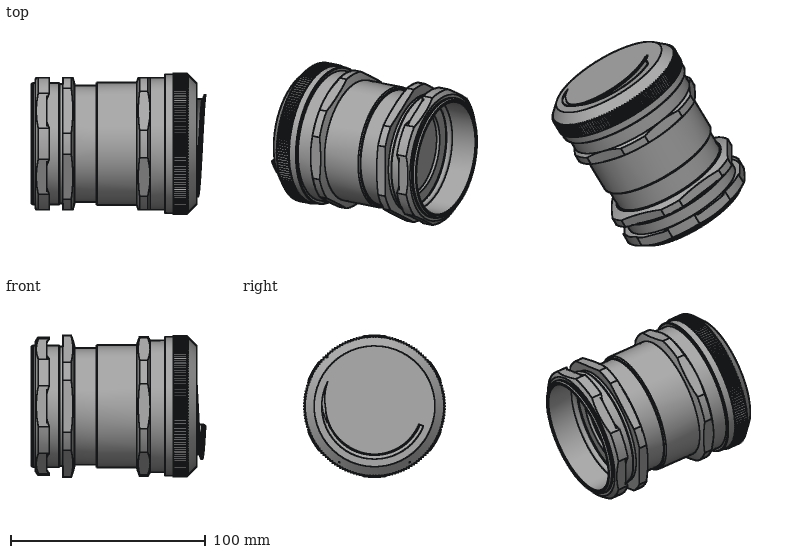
import cadquery as cq
import math


tip_radius = 30.6
thread_radius = 31.3
thread_relief_radius = 30.8
neck_radius = 60.0 / 2
barrel_radius = 63.0 / 2
collar_radius = 33.9
tip_chamfer_end = 1.1
thread_end = 14.0
relief_start = 14.6
relief_end = 22.4
barrel_start = 33.2
barrel_chamfer = 0.7

bore_radius = 58.6 / 2
mouth_chamfer = 0.45
bead_x = 15.75
bead_radius = 1.6
bead_crest_radius = 27.6
floor_x = 17.9
recess_radius = 46.0 / 2
recess_depth = 1.9

across_flats = 67.8

end_nut_start = 2.0
end_nut_rim_x = 3.6
end_nut_back_x = 8.0
end_nut_end = 9.2
end_nut_face_radius = 66.0 / 2
end_nut_corner_radius = 71.0 / 2
end_nut_back_radius = 34.5

lock_nut_start = 16.2
lock_nut_rim_x = 20.5
lock_nut_end = 22.0
lock_nut_corner_radius = 72.9 / 2
lock_nut_face_radius = 63.4 / 2

body_nut_start = 54.05
body_nut_rim_start = 55.6
body_nut_rim_end = 59.8
body_nut_end = 60.9
body_nut_corner_radius = 35.8

cap_start = 68.45
cap_edge_chamfer = 0.4
cap_radius = 35.7
cap_end = 84.9
cap_end_radius = 62.0 / 2
knurl_start = 72.75
knurl_root_radius = 71.0 / 2
knurl_tip_radius = 72.6 / 2
knurl_bevel = 0.4
tooth_count = 148

lip_inner_radius = 49.2 / 2
lip_outer_radius = 50.0 / 2
lip_tip_radius = 27.1
lip_tip_x = 89.5
lip_flange_thickness = 0.6
lip_flare_start = 1.4
lip_throat_start = 2.0
lip_throat_end = 0.7
lip_throat_radius = 25.1
lip_root_length = 5.4
lip_pitch = 8.9
lip_sweep = 210.0
lip_end_angle = 68.0


def revolve_about_x(profile):
    """Revolve a closed (x, radius) profile about the X axis."""
    return profile.close().revolve(360, (0, 0, 0), (1, 0, 0))


def turned(points):
    return revolve_about_x(cq.Workplane("XY").polyline(points))


def cap_cone_x(radius):
    """Station where the cap's 45 degree end cone has the given radius."""
    return cap_end - (radius - cap_end_radius)


def make_body():
    return turned([
        (0, 0),
        (0, tip_radius),
        (tip_chamfer_end, thread_radius),
        (thread_end, thread_radius),
        (relief_start, thread_relief_radius),
        (relief_end, thread_relief_radius),
        (relief_end, neck_radius),
        (barrel_start, neck_radius),
        (barrel_start, barrel_radius - barrel_chamfer),
        (barrel_start + barrel_chamfer, barrel_radius),
        (body_nut_end, barrel_radius),
        (body_nut_end, collar_radius),
        (cap_start, collar_radius),
        (cap_start, cap_radius - cap_edge_chamfer),
        (cap_start + cap_edge_chamfer, cap_radius),
        (knurl_start, cap_radius),
        (knurl_start, knurl_root_radius),
        (cap_cone_x(knurl_root_radius), knurl_root_radius),
        (cap_end, cap_end_radius),
        (cap_end, 0),
    ])


def make_bore():
    """Blind bore with a round bead ahead of its floor and a shallow recess in the floor."""
    bead_center_radius = bead_crest_radius + bead_radius
    bead_half_width = math.sqrt(bead_radius**2 - (bore_radius - bead_center_radius) ** 2)
    diagonal = bead_radius * math.sqrt(0.5)
    profile = (
        cq.Workplane("XY")
        .moveTo(0, 0)
        .lineTo(0, bore_radius + mouth_chamfer)
        .lineTo(mouth_chamfer, bore_radius)
        .lineTo(bead_x - bead_half_width, bore_radius)
        .threePointArc(
            (bead_x - diagonal, bead_center_radius - diagonal),
            (bead_x, bead_crest_radius),
        )
        .threePointArc(
            (bead_x + diagonal, bead_center_radius - diagonal),
            (bead_x + bead_radius, bead_center_radius),
        )
        .lineTo(floor_x, bead_center_radius)
        .lineTo(floor_x, recess_radius)
        .lineTo(floor_x + recess_depth, recess_radius)
        .lineTo(floor_x + recess_depth, 0)
    )
    return revolve_about_x(profile)


def hex_nut(start, end, envelope_points):
    """Hexagonal prism with flats on +-Y, trimmed by a turned envelope."""
    across_corners = across_flats / math.cos(math.pi / 6)
    prism = (
        cq.Workplane("YZ", origin=(start, 0, 0))
        .transformed(rotate=(0, 0, 90))
        .polygon(6, across_corners)
        .extrude(end - start)
    )
    return prism.intersect(turned(envelope_points))


def make_end_nut():
    return hex_nut(end_nut_start, end_nut_end, [
        (end_nut_start, 0),
        (end_nut_start, end_nut_face_radius),
        (end_nut_rim_x, end_nut_corner_radius),
        (end_nut_end, end_nut_corner_radius),
        (end_nut_back_x, end_nut_back_radius),
        (end_nut_back_x, 0),
    ])


def make_lock_nut():
    return hex_nut(lock_nut_start, lock_nut_end, [
        (lock_nut_start, 0),
        (lock_nut_start, lock_nut_corner_radius),
        (lock_nut_rim_x, lock_nut_corner_radius),
        (lock_nut_end, lock_nut_face_radius),
        (lock_nut_end, 0),
    ])


def make_body_nut():
    return hex_nut(body_nut_start, body_nut_end, [
        (body_nut_start, 0),
        (body_nut_start, barrel_radius),
        (body_nut_rim_start, body_nut_corner_radius),
        (body_nut_rim_end, body_nut_corner_radius),
        (body_nut_end, collar_radius),
        (body_nut_end, 0),
    ])


def make_knurl():
    """Ring of V-shaped teeth, bevelled at the start and trimmed by the cap's end cone."""
    teeth = []
    for i in range(2 * tooth_count):
        radius = knurl_tip_radius if i % 2 == 0 else knurl_root_radius
        angle = math.pi * i / tooth_count
        teeth.append((radius * math.cos(angle), radius * math.sin(angle)))
    ring = (
        cq.Workplane("YZ", origin=(knurl_start, 0, 0))
        .polyline(teeth)
        .close()
        .extrude(cap_end - knurl_start)
    )
    envelope = turned([
        (knurl_start, 0),
        (knurl_start, knurl_tip_radius - knurl_bevel),
        (knurl_start + knurl_bevel, knurl_tip_radius),
        (cap_cone_x(knurl_tip_radius), knurl_tip_radius),
        (cap_end, cap_end_radius),
        (cap_end, 0),
    ])
    return ring.intersect(envelope)


def make_lip():
    """Thin flared lip swept along a helix, sinking into the cap's end face."""
    rise = lip_pitch * lip_sweep / 360
    section = (
        cq.Workplane("XZ")
        .moveTo(lip_inner_radius, -lip_root_length)
        .lineTo(lip_outer_radius, -lip_root_length)
        .lineTo(lip_outer_radius, -lip_flare_start)
        .lineTo(lip_tip_radius, -lip_flange_thickness)
        .lineTo(lip_tip_radius, 0)
        .lineTo(lip_throat_radius, -lip_throat_end)
        .lineTo(lip_inner_radius, -lip_throat_start)
        .close()
    )
    helix = cq.Wire.makeHelix(lip_pitch, rise, lip_outer_radius)
    lip = section.sweep(cq.Workplane(obj=helix), isFrenet=True)
    return (
        lip.rotate((0, 0, 0), (0, 0, 1), lip_end_angle - lip_sweep)
        .rotate((0, 0, 0), (0, 1, 0), 90)
        .translate((lip_tip_x - rise, 0, 0))
    )


result = (
    make_body()
    .union(make_end_nut())
    .union(make_lock_nut())
    .union(make_body_nut())
    .union(make_knurl())
    .union(make_lip())
    .cut(make_bore())
)